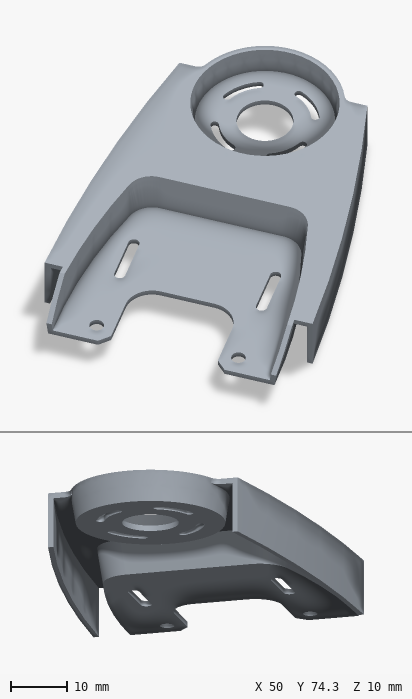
import cadquery as cq
import math

wall = 1.0
height = 10.0
overlap = 0.75

plate_front = 10.0
plate_back = 64.9
front_half_width = 24.99
mid_half_width = 22.7
back_half_width = 17.5

cup_radius = 14.25
cup_y = 74.25 - cup_radius
cup_depth = 5.5
cup_taper = 10
cup_blend = 1.6
center_hole_radius = 5.05
arc_slot_radius = 9.0
arc_slot_width = 1.5
arc_slot_half_angle = 21

tray_back = 36.6
tray_back_half_width = 15.7
tray_mid_y = 21.3
tray_mid_half_width = 19.2
tray_front_half_width = 21.0
tray_floor_depth = 6.0
tray_side_slope = 0.13
tray_back_slope = 0.28
tray_corner_radius = 4.8
tray_rim_flat = 8.5
tray_tip_drop = 4.5

notch_half_width = 9.95
notch_back = 15.15
notch_corner = 5.0
notch_chamfer = 1.85
mount_x = 13.2
screw_y = 3.65
screw_diameter = 2.6
slot_y = 21.1
slot_length = 10.1
slot_width = 2.0


def plate_outline(inset=0.0):
    """Plate outline with its curved sides moved inward by inset."""
    front = front_half_width - inset
    mid = mid_half_width - inset
    back = back_half_width - inset
    mid_y = (plate_front + plate_back) / 2
    return (
        cq.Workplane("XY")
        .moveTo(-front, plate_front)
        .lineTo(front, plate_front)
        .threePointArc((mid, mid_y), (back, plate_back))
        .lineTo(-back, plate_back)
        .threePointArc((-mid, mid_y), (-front, plate_front))
        .close()
    )


def cup_solid(radius, depth):
    """Downward tapering round plug centred on the cup."""
    return cq.Workplane("XY").center(0, cup_y).circle(radius).extrude(-depth, taper=cup_taper)


def cup_blends():
    """Plate-thick concave webs between the cup rim and the plate's back edge."""
    center_y = plate_back + cup_blend
    rise = center_y - cup_y
    reach = cup_radius + cup_blend
    center_x = math.sqrt(reach**2 - rise**2)
    touch_x = center_x * cup_radius / reach
    touch_y = cup_y + rise * cup_radius / reach
    arc_angle = (math.atan2(rise, center_x) + math.pi + 1.5 * math.pi) / 2
    arc_x = center_x + cup_blend * math.cos(arc_angle)
    arc_y = center_y + cup_blend * math.sin(arc_angle)
    web = (
        cq.Workplane("XY")
        .moveTo(0, cup_y)
        .lineTo(center_x, cup_y)
        .lineTo(center_x, plate_back)
        .threePointArc((arc_x, arc_y), (touch_x, touch_y))
        .close()
        .extrude(-wall)
    )
    return web.union(web.mirror("YZ"))


def tray_solid(offset, depth):
    """Tapered tray plug, grown by offset from the inner surface."""

    def section(workplane, z):
        side = offset + z * tray_side_slope
        back_y = tray_back + offset + z * tray_back_slope
        back = tray_back_half_width + side
        mid = tray_mid_half_width + side
        front = tray_front_half_width + side
        return (
            workplane.moveTo(-front, 0)
            .lineTo(front, 0)
            .threePointArc((mid, tray_mid_y), (back, back_y))
            .lineTo(-back, back_y)
            .threePointArc((-mid, tray_mid_y), (-front, 0))
            .close()
        )

    top = section(cq.Workplane("XY"), 0)
    plug = section(top.workplane(offset=-depth), -depth).loft(ruled=True, combine=True)
    corners = plug.faces(">Y").edges("not |X")
    return plug.newObject(corners.vals()).fillet(tray_corner_radius + offset)


def rim_cutter():
    """Wedge that slopes the tray's side walls down to the open end."""
    return (
        cq.Workplane("YZ")
        .polyline([(tray_rim_flat, 0), (0, -tray_tip_drop), (-overlap, -tray_tip_drop), (-overlap, 0)])
        .close()
        .extrude(front_half_width, both=True)
    )


def floor_openings():
    """Front notch, screw holes and adjustment slots through the tray floor."""
    notch = (
        cq.Workplane("XY")
        .rect(2 * notch_half_width, 2 * notch_back)
        .extrude(-height)
        .edges("|Z and >Y")
        .fillet(notch_corner)
    )
    mouth_half_width = notch_half_width + notch_chamfer
    mouth = (
        cq.Workplane("XY")
        .moveTo(-mouth_half_width, 0)
        .lineTo(mouth_half_width, 0)
        .lineTo(notch_half_width, notch_chamfer)
        .lineTo(-notch_half_width, notch_chamfer)
        .close()
        .extrude(-height)
    )
    screws = (
        cq.Workplane("XY")
        .pushPoints([(-mount_x, screw_y), (mount_x, screw_y)])
        .circle(screw_diameter / 2)
        .extrude(-height)
    )
    slots = (
        cq.Workplane("XY")
        .pushPoints([(-mount_x, slot_y), (mount_x, slot_y)])
        .slot2D(slot_length, slot_width, 90)
        .extrude(-height)
    )
    return notch.union(mouth).union(screws).union(slots)


def arc_slot(middle_angle):
    """Round-ended curved slot through the cup floor."""

    def point(radius, angle):
        turn = math.radians(middle_angle + angle)
        return radius * math.cos(turn), cup_y + radius * math.sin(turn)

    inner = arc_slot_radius - arc_slot_width / 2
    outer = arc_slot_radius + arc_slot_width / 2
    half = arc_slot_half_angle
    end = half + math.degrees(arc_slot_width / 2 / arc_slot_radius)
    return (
        cq.Workplane("XY")
        .moveTo(*point(inner, -half))
        .threePointArc(point(inner, 0), point(inner, half))
        .threePointArc(point(arc_slot_radius, end), point(outer, half))
        .threePointArc(point(outer, 0), point(outer, -half))
        .threePointArc(point(arc_slot_radius, -end), point(inner, -half))
        .close()
        .extrude(-height)
    )


plate = plate_outline().extrude(-wall)
skirts = plate_outline().extrude(-height).cut(plate_outline(wall).extrude(-height))
body = plate.union(skirts)

body = body.union(cup_solid(cup_radius, cup_depth)).union(cup_blends())
body = body.union(tray_solid(wall, tray_floor_depth + wall))
body = body.cut(cup_solid(cup_radius - wall, cup_depth - wall))
body = body.cut(tray_solid(0, tray_floor_depth))
body = body.cut(rim_cutter())

body = body.cut(floor_openings())
body = body.cut(cq.Workplane("XY").center(0, cup_y).circle(center_hole_radius).extrude(-height))
for slot_angle in (45, 135, 225, 315):
    body = body.cut(arc_slot(slot_angle))

result = body